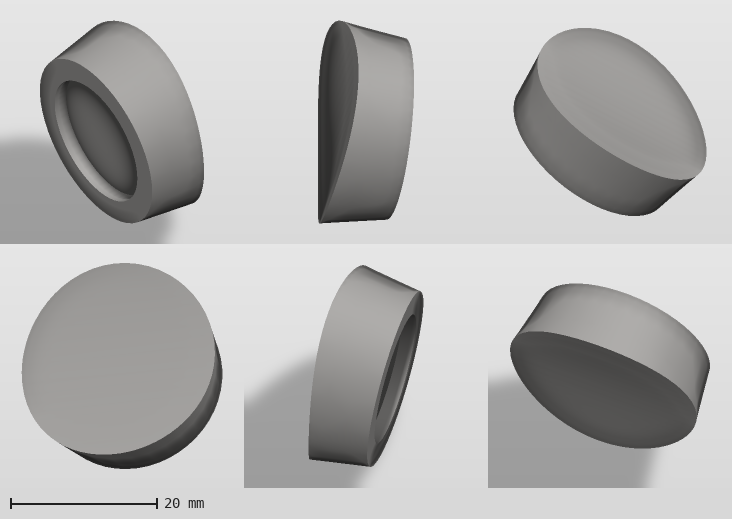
import cadquery as cq
import math

rim_radius = 14.02
height = 9.62
face_radius = 12.5
saddle_radius = 62.0
recess_diameter = 18.4
recess_depth = 2.0

saddle_axis_y = height + math.sqrt(saddle_radius**2 - rim_radius**2)


def tapered_body():
    """Cone frustum widening from the flat face toward the back."""
    profile = [(0, 0), (face_radius, 0), (rim_radius, height), (0, height)]
    return cq.Workplane("XY").polyline(profile).close().revolve(360, (0, 0, 0), (0, 1, 0))


def saddle_cutter():
    """Cylinder along X that hollows the back of the disc."""
    return (
        cq.Workplane("YZ")
        .center(saddle_axis_y, 0)
        .circle(saddle_radius)
        .extrude(2 * rim_radius, both=True)
    )


def recess_cutter():
    """Shallow round pocket in the flat face."""
    return cq.Workplane("XZ").circle(recess_diameter / 2).extrude(-recess_depth)


result = tapered_body().cut(saddle_cutter()).cut(recess_cutter())